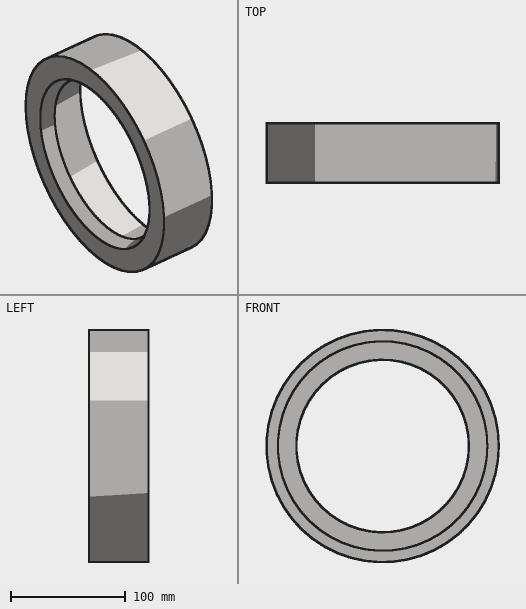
import cadquery as cq

outer_diameter = 202.2
recess_diameter = 182.2
bore_inner_diameter = 149.8
bore_outer_diameter = 159.1
ring_width = 52.0
lip_thickness = 12.1

open_face_y = -ring_width / 2
back_face_y = ring_width / 2
recess_floor_y = back_face_y - lip_thickness

section = cq.Workplane("XY").polyline([
    (outer_diameter / 2, open_face_y),
    (outer_diameter / 2, back_face_y),
    (bore_outer_diameter / 2, back_face_y),
    (bore_inner_diameter / 2, recess_floor_y),
    (recess_diameter / 2, recess_floor_y),
    (recess_diameter / 2, open_face_y),
]).close()

result = section.revolve(360, (0, 0, 0), (0, 1, 0))